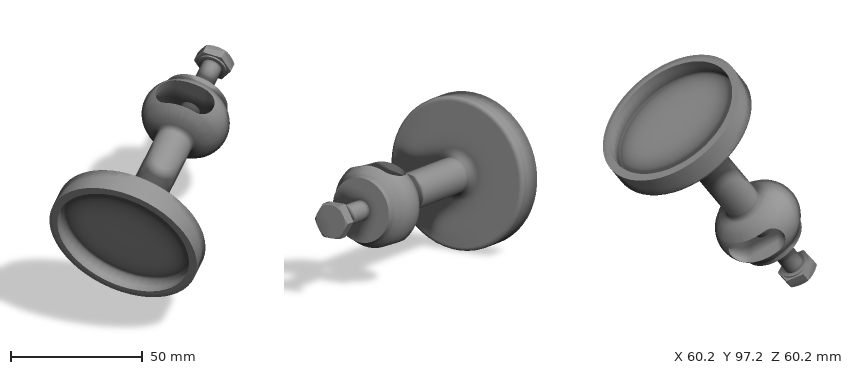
import cadquery as cq
import math

TOTAL_LENGTH = 97.2
TOLERANCE = 0.001

BASE_RADIUS = 30.1
BASE_HEIGHT = 10.3
BASE_EDGE_FILLET = 1.7
POCKET_RADIUS = 26.9
POCKET_DEPTH = 7.0
POCKET_FILLET = 0.7

STEM_RADIUS = 7.2
STEM_BASE_FILLET = 3.0
STEM_HEAD_FILLET = 1.5

HEAD_CENTRE_Y = 65.0
HEAD_CENTRE_OFFSET = 6.3
HEAD_ARC_RADIUS = 10.9

COLLAR_RADIUS = 12.7
COLLAR_BACK_Y = 76.3
COLLAR_FILLET = 1.9

SLOT_CENTRE_Y = 64.4
SLOT_LENGTH = 23.2
SLOT_WIDTH = 11.1

BOLT_RADIUS = 8.0 / 2
BOLT_TIP_Y = 66.7
BOLT_TIP_LENGTH = 1.6
BOLT_TIP_INSET = 0.8
WASHER_FACE_RADIUS = 11.5 / 2
WASHER_FACE_HEIGHT = 0.6
HEX_SIDES = 6
HEX_ACROSS_FLATS = 13.0
HEX_HEIGHT = 4.5
HEX_FRONT_Y = TOTAL_LENGTH - HEX_HEIGHT
HEX_CHAMFER_ANGLE = 30


def y_cylinder(radius, start, end):
    """Cylinder on the Y axis from start to end."""
    return cq.Workplane("XZ", origin=(0, start, 0)).circle(radius).extrude(start - end)


def arc_height(radius):
    """Distance along Y from the head centre to the head arc at a given radius."""
    return math.sqrt(HEAD_ARC_RADIUS**2 - (radius - HEAD_CENTRE_OFFSET) ** 2)


def circle_edge(body, radius, y):
    """The circular edge of a body with the given radius at height y on the Y axis."""
    return body.edges("%CIRCLE").filter(
        lambda edge: abs(edge.Center().y - y) < TOLERANCE and abs(edge.radius() - radius) < TOLERANCE
    )


def holder_blank():
    """Revolved base, stem, head and collar, with the edges between them filleted."""
    head_front = HEAD_CENTRE_Y - arc_height(STEM_RADIUS)
    head_back = HEAD_CENTRE_Y + arc_height(COLLAR_RADIUS)
    blank = (
        cq.Workplane("XY")
        .lineTo(BASE_RADIUS, 0)
        .lineTo(BASE_RADIUS, BASE_HEIGHT)
        .lineTo(STEM_RADIUS, BASE_HEIGHT)
        .lineTo(STEM_RADIUS, head_front)
        .threePointArc(
            (HEAD_CENTRE_OFFSET + HEAD_ARC_RADIUS, HEAD_CENTRE_Y), (COLLAR_RADIUS, head_back)
        )
        .lineTo(COLLAR_RADIUS, COLLAR_BACK_Y)
        .lineTo(0, COLLAR_BACK_Y)
        .close()
        .revolve(360, (0, 0, 0), (0, 1, 0))
    )
    edge_fillets = [
        (BASE_RADIUS, BASE_HEIGHT, BASE_EDGE_FILLET),
        (STEM_RADIUS, BASE_HEIGHT, STEM_BASE_FILLET),
        (STEM_RADIUS, head_front, STEM_HEAD_FILLET),
        (COLLAR_RADIUS, head_back, COLLAR_FILLET),
    ]
    for edge_radius, edge_y, fillet in edge_fillets:
        blank = circle_edge(blank, edge_radius, edge_y).fillet(fillet)
    return blank


def base_pocket():
    """Round pocket in the open face of the base, with a filleted floor edge."""
    return y_cylinder(POCKET_RADIUS, 0, POCKET_DEPTH).faces(">Y").edges().fillet(POCKET_FILLET)


def head_slot():
    """Round-ended slot along X, cut right through the head in Z."""
    cut_depth = 2 * (HEAD_CENTRE_OFFSET + HEAD_ARC_RADIUS)
    return (
        cq.Workplane("XY")
        .center(0, SLOT_CENTRE_Y)
        .slot2D(SLOT_LENGTH, SLOT_WIDTH)
        .extrude(cut_depth, both=True)
    )


def make_holder():
    """Base, stem and slotted head, with a bolt hole from the collar into the slot."""
    bolt_hole = y_cylinder(BOLT_RADIUS, SLOT_CENTRE_Y, COLLAR_BACK_Y)
    return holder_blank().cut(base_pocket()).cut(head_slot()).cut(bolt_hole)


def hex_head():
    """Hexagon with corners on the X axis, its back corners chamfered by a cone."""
    corner_diameter = HEX_ACROSS_FLATS / math.cos(math.pi / HEX_SIDES)
    flat_radius = HEX_ACROSS_FLATS / 2
    chamfer_slope = math.tan(math.radians(HEX_CHAMFER_ANGLE))
    hexagon = (
        cq.Workplane("XZ", origin=(0, HEX_FRONT_Y, 0))
        .polygon(HEX_SIDES, corner_diameter)
        .extrude(-HEX_HEIGHT)
    )
    chamfer_cone = (
        cq.Workplane("XY")
        .moveTo(0, HEX_FRONT_Y)
        .lineTo(HEX_ACROSS_FLATS, HEX_FRONT_Y)
        .lineTo(HEX_ACROSS_FLATS, TOTAL_LENGTH - flat_radius * chamfer_slope)
        .lineTo(flat_radius, TOTAL_LENGTH)
        .lineTo(0, TOTAL_LENGTH)
        .close()
        .revolve(360, (0, 0, 0), (0, 1, 0))
    )
    return hexagon.intersect(chamfer_cone)


def make_bolt():
    """Hex bolt with a washer face and a tapered tip."""
    shank = (
        y_cylinder(BOLT_RADIUS, BOLT_TIP_Y, HEX_FRONT_Y)
        .faces("<Y")
        .edges()
        .chamfer(BOLT_TIP_LENGTH, BOLT_TIP_INSET)
    )
    washer_face = y_cylinder(WASHER_FACE_RADIUS, HEX_FRONT_Y - WASHER_FACE_HEIGHT, HEX_FRONT_Y)
    return hex_head().union(washer_face).union(shank)


holder = make_holder()
bolt = make_bolt()
result = cq.Compound.makeCompound([holder.val(), bolt.val()])